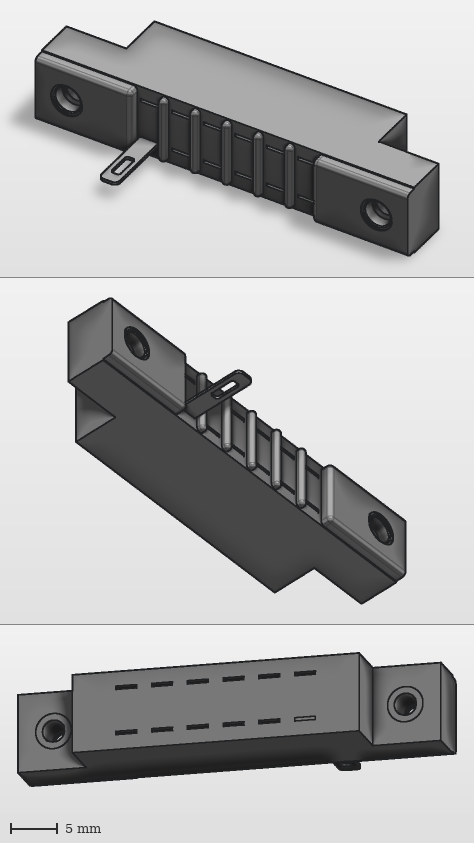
import cadquery as cq
import math


length = 46.8
height = 8.7
total_depth = 19.2
housing_depth = 10.7
center_width = 31.72
ear_depth = 5.0

contact_count = 6
row_count = 2
contact_span = 19.8
pitch = contact_span / (contact_count - 1)
row_spacing = 5.05
first_contact_x = -contact_span / 2
contact_width = 2.3
contact_thickness = 0.37

rib_width = 1.0
rib_projection = 0.8
rib_length = 8.35
rib_crest_flat = 0.02

foot_projection = 1.35
foot_height = 8.38
foot_draft = math.radians(3)
foot_fillet = 0.55
foot_inner_x = pitch * contact_count / 2 - rib_width / 2

bushing_x = 19.45
bushing_diameter = 3.95
bushing_recess = 0.2
mouth_diameter = 3.4
counterbore_diameter = 3.15
counterbore_depth = 1.5
bore_diameter = 2.45

tail_length = total_depth - housing_depth
tail_corner_radius = 0.65
eye_width = 1.1
eye_length = 3.28
eye_center_y = -5.4
eye_corner_radius = 0.35


def box_between(x_range, y_range, z_range):
    """Axis-aligned box given its limits along each axis."""
    (x0, x1), (y0, y1), (z0, z1) = x_range, y_range, z_range
    return (
        cq.Workplane("XY")
        .box(x1 - x0, y1 - y0, z1 - z0, centered=False)
        .translate((x0, y0, z0))
    )


def contact_blank(x, z, y_front):
    """Flat strip at one contact position, reaching from y_front to the back face."""
    return box_between(
        (x - contact_width / 2, x + contact_width / 2),
        (y_front, housing_depth),
        (z - contact_thickness / 2, z + contact_thickness / 2),
    )


def make_block():
    """T-shaped block: a deep middle with a shallower ear at each end."""
    half_height = height / 2
    ears = box_between((-length / 2, length / 2), (0, ear_depth), (-half_height, half_height))
    middle = box_between(
        (-center_width / 2, center_width / 2), (0, housing_depth), (-half_height, half_height)
    )
    return ears.union(middle)


def make_rib(x):
    """Capsule-shaped rib with a rounded crest and domed ends."""
    crest_fillet = rib_width / 2 - rib_crest_flat / 2
    return (
        cq.Workplane("XZ")
        .center(x, 0)
        .slot2D(rib_length, rib_width, 90)
        .extrude(rib_projection)
        .faces("<Y")
        .edges()
        .fillet(crest_fillet)
    )


def make_foot():
    """Stand-off foot of the +X ear, rounded all over except at its root and outer end."""
    root_z = foot_height / 2
    front_z = root_z - foot_projection * math.tan(foot_draft)
    return (
        cq.Workplane("YZ", origin=(foot_inner_x, 0, 0))
        .moveTo(0, -root_z)
        .lineTo(-foot_projection, -front_z)
        .lineTo(-foot_projection, front_z)
        .lineTo(0, root_z)
        .close()
        .extrude(length / 2 - foot_inner_x)
        .edges("(<X or <Y) and (not >X) and (not >Y)")
        .fillet(foot_fillet)
    )


def make_bushing_hole(x):
    """Cylinder that clears one bushing through an ear and its foot."""
    return (
        cq.Workplane("XZ", origin=(x, ear_depth, 0))
        .circle(bushing_diameter / 2)
        .extrude(ear_depth + foot_projection)
    )


def make_housing():
    """Block with ribs, feet, bushing holes and contact slots."""
    housing = make_block()
    for i in range(contact_count - 1):
        housing = housing.union(make_rib(first_contact_x + (i + 0.5) * pitch))
    foot = make_foot()
    housing = housing.union(foot).union(foot.mirror("YZ"))
    for x in (-bushing_x, bushing_x):
        housing = housing.cut(make_bushing_hole(x))
    for row in range(row_count):
        z = row_spacing * (row - (row_count - 1) / 2)
        for i in range(contact_count):
            housing = housing.cut(contact_blank(first_contact_x + i * pitch, z, 0))
    return housing


def make_contact():
    """Contact in the first lower slot, with a rounded solder tail and a wire eye."""
    eye = (
        box_between(
            (first_contact_x - eye_width / 2, first_contact_x + eye_width / 2),
            (eye_center_y - eye_length / 2, eye_center_y + eye_length / 2),
            (-height / 2, height / 2),
        )
        .edges("|Z")
        .fillet(eye_corner_radius)
    )
    return (
        contact_blank(first_contact_x, -row_spacing / 2, -tail_length)
        .edges("|Z and <Y")
        .fillet(tail_corner_radius)
        .cut(eye)
    )


def make_bushing(x):
    """Tube with a chamfered counterbore that narrows through a 45 degree cone to the bore."""
    outer_radius = bushing_diameter / 2
    mouth_radius = mouth_diameter / 2
    counterbore_radius = counterbore_diameter / 2
    bore_radius = bore_diameter / 2
    front_y = bushing_recess - foot_projection
    chamfer_end_y = front_y + mouth_radius - counterbore_radius
    cone_start_y = front_y + counterbore_depth
    cone_end_y = cone_start_y + counterbore_radius - bore_radius
    return (
        cq.Workplane("XY", origin=(x, 0, 0))
        .moveTo(outer_radius, ear_depth)
        .lineTo(outer_radius, front_y)
        .lineTo(mouth_radius, front_y)
        .lineTo(counterbore_radius, chamfer_end_y)
        .lineTo(counterbore_radius, cone_start_y)
        .lineTo(bore_radius, cone_end_y)
        .lineTo(bore_radius, ear_depth)
        .close()
        .revolve(360, (0, 0, 0), (0, 1, 0))
    )


housing = make_housing()
contact = make_contact()
bushings = [make_bushing(x) for x in (-bushing_x, bushing_x)]

result = cq.Compound.makeCompound(
    [housing.val(), contact.val(), *[bushing.val() for bushing in bushings]]
)